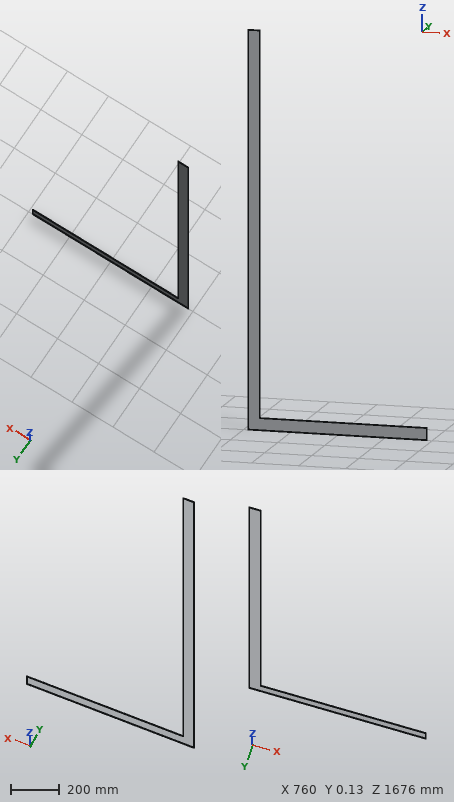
import cadquery as cq

height = 1676.0
length = 760.0
thickness = 0.13
upright_width = 50.0
foot_width = 52.0

outline = [
    (0, 0),
    (length, 0),
    (length, foot_width),
    (upright_width, foot_width),
    (upright_width, height),
    (0, height),
]

result = cq.Workplane("XZ").polyline(outline).close().extrude(thickness)